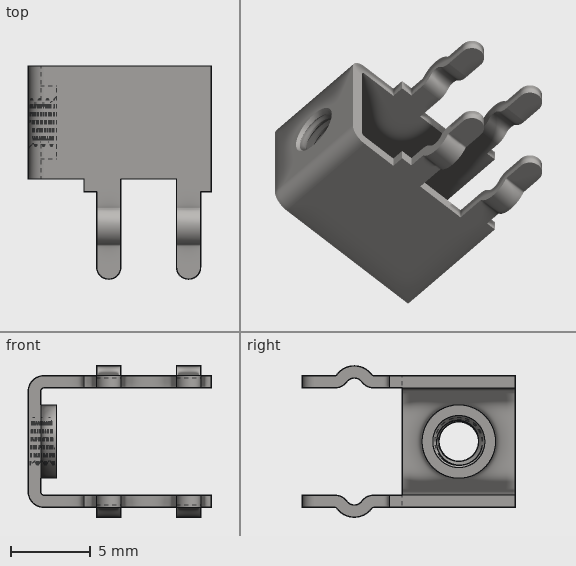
import cadquery as cq
import math

length_x = 11.5
body_depth = 7.1
body_height = 8.27
web_thickness = 0.8
flange_thickness = 0.78
outer_bend_radius = 1.0
inner_bend_radius = 0.2

pin_width = 1.53
pin_length = 6.28
pin_pitch = 5.0
last_pin_to_edge = 1.43
shoulder_depth = 0.8
first_shoulder_width = 0.8

bump_center = 3.0
bump_height = 0.62
bump_radius = 1.35
bump_blend_radius = 0.15

boss_diameter = 4.6
boss_reach = 1.79
thread_diameter = 3.0
thread_pitch = 0.5
thread_depth_ratio = 0.54
thread_half_angle = 30
root_flat_ratio = 1 / 8
countersink_diameter = 3.26
groove_overlap = 0.03
thread_start_angle = 285

half_height = body_height / 2
pin_radius = pin_width / 2
pin_centers = [length_x - last_pin_to_edge - pin_pitch, length_x - last_pin_to_edge]
hole_y = -body_depth / 2
major_radius = thread_diameter / 2
countersink_radius = countersink_diameter / 2
minor_radius = major_radius - thread_depth_ratio * thread_pitch


def make_channel():
    """Bent web and flanges, with the back edge at Y = 0 and the front edge at -body_depth."""
    outer = (
        cq.Workplane("XZ")
        .rect(2 * length_x, body_height)
        .extrude(body_depth)
        .edges("|Y")
        .fillet(outer_bend_radius)
        .translate((length_x, 0, 0))
    )
    inner = (
        cq.Workplane("XZ")
        .rect(2 * (length_x - web_thickness), body_height - 2 * flange_thickness)
        .extrude(body_depth)
        .edges("|Y")
        .fillet(inner_bend_radius)
        .translate((length_x, 0, 0))
    )
    open_end = cq.Workplane("XY").box(
        2 * length_x, 3 * body_depth, 2 * body_height, centered=(False, True, True)
    )
    return outer.cut(inner).cut(open_end.translate((length_x, 0, 0)))


def make_shoulder(x_start, x_end):
    """Short flange extension at the root of a pin on the upper flange."""
    block = cq.Workplane("XY").box(x_end - x_start, shoulder_depth, flange_thickness, centered=False)
    return block.translate((x_start, -body_depth - shoulder_depth, half_height - flange_thickness))


def make_pin(x_center):
    """Upper-flange pin: a strip with a tangent-arc bump and a full-round tip."""
    inner_radius = bump_radius - flange_thickness
    blend_outer_radius = bump_blend_radius + flange_thickness
    bump_axis_z = half_height + bump_height - bump_radius
    blend_axis_z = half_height + bump_blend_radius
    half_span = math.sqrt((bump_radius + bump_blend_radius) ** 2 - (blend_axis_z - bump_axis_z) ** 2)
    blend_angle = math.atan2(half_span, blend_axis_z - bump_axis_z)
    mid_angle = blend_angle / 2
    bump_y = -body_depth - bump_center
    root_y = -body_depth
    tip_y = root_y - pin_length

    def on_bump(radius, angle):
        return (bump_y + radius * math.sin(angle), bump_axis_z + radius * math.cos(angle))

    def on_blend(radius, angle, side):
        y = bump_y + side * (half_span - radius * math.sin(angle))
        return (y, blend_axis_z - radius * math.cos(angle))

    top_z = half_height
    under_z = half_height - flange_thickness
    profile = (
        cq.Workplane("YZ")
        .moveTo(root_y, top_z)
        .lineTo(bump_y + half_span, top_z)
        .threePointArc(on_blend(bump_blend_radius, mid_angle, 1), on_bump(bump_radius, blend_angle))
        .threePointArc(on_bump(bump_radius, 0), on_bump(bump_radius, -blend_angle))
        .threePointArc(on_blend(bump_blend_radius, mid_angle, -1), (bump_y - half_span, top_z))
        .lineTo(tip_y, top_z)
        .lineTo(tip_y, under_z)
        .lineTo(bump_y - half_span, under_z)
        .threePointArc(on_blend(blend_outer_radius, mid_angle, -1), on_bump(inner_radius, -blend_angle))
        .threePointArc(on_bump(inner_radius, 0), on_bump(inner_radius, blend_angle))
        .threePointArc(on_blend(blend_outer_radius, mid_angle, 1), (bump_y + half_span, under_z))
        .lineTo(root_y, under_z)
        .close()
    )
    strip = profile.extrude(pin_radius, both=True)
    outline = (
        cq.Workplane("XY")
        .moveTo(-pin_radius, root_y)
        .lineTo(-pin_radius, tip_y + pin_radius)
        .threePointArc((0, tip_y), (pin_radius, tip_y + pin_radius))
        .lineTo(pin_radius, root_y)
        .close()
        .extrude(body_height)
    )
    return strip.intersect(outline).translate((x_center, 0, 0))


def aim_at_hole(tool):
    """Turn a tool built along +Z onto the hole axis, starting at the outer web face."""
    return tool.rotate((0, 0, 0), (0, 1, 0), 90).translate((0, hole_y, 0))


def make_bore():
    """Minor-diameter bore through the web and boss."""
    return aim_at_hole(cq.Workplane("XY").circle(minor_radius).extrude(boss_reach))


def make_countersinks():
    """45 degree cones that open both ends of the bore, pointing at each other."""
    cone = cq.Solid.makeCone(countersink_radius, 0, countersink_radius)
    outer_cone = aim_at_hole(cq.Workplane(obj=cone))
    inner_cone = outer_cone.mirror("YZ").translate((boss_reach, 0, 0))
    return [outer_cone, inner_cone]


def make_thread_groove():
    """Helical 60 degree groove that runs past both ends of the bore."""
    root_half_width = root_flat_ratio * thread_pitch / 2
    mouth_radius = minor_radius - groove_overlap
    flank_slope = math.tan(math.radians(thread_half_angle))
    mouth_half_width = root_half_width + (major_radius - mouth_radius) * flank_slope
    helix = cq.Wire.makeHelix(thread_pitch, boss_reach + 2 * thread_pitch, minor_radius)
    groove = (
        cq.Workplane("XZ")
        .polyline([
            (mouth_radius, -mouth_half_width),
            (major_radius, -root_half_width),
            (major_radius, root_half_width),
            (mouth_radius, mouth_half_width),
        ])
        .close()
        .sweep(cq.Workplane(obj=helix), isFrenet=True)
    )
    groove = groove.rotate((0, 0, 0), (0, 0, 1), thread_start_angle)
    return aim_at_hole(groove.translate((0, 0, -thread_pitch)))


boss = (
    cq.Workplane("YZ")
    .center(hole_y, 0)
    .circle(boss_diameter / 2)
    .extrude(boss_reach - web_thickness)
    .translate((web_thickness, 0, 0))
)

first_pin_left = pin_centers[0] - pin_radius
upper_pins = make_shoulder(first_pin_left - first_shoulder_width, pin_centers[0])
upper_pins = upper_pins.union(make_shoulder(pin_centers[1], length_x))
for pin_x in pin_centers:
    upper_pins = upper_pins.union(make_pin(pin_x))
lower_pins = upper_pins.mirror("XY")

web_with_boss = make_channel().union(boss)
tapped = web_with_boss.cut(make_thread_groove())
for countersink in make_countersinks():
    tapped = tapped.cut(countersink)
tapped = tapped.cut(make_bore())
result = tapped.union(upper_pins).union(lower_pins)